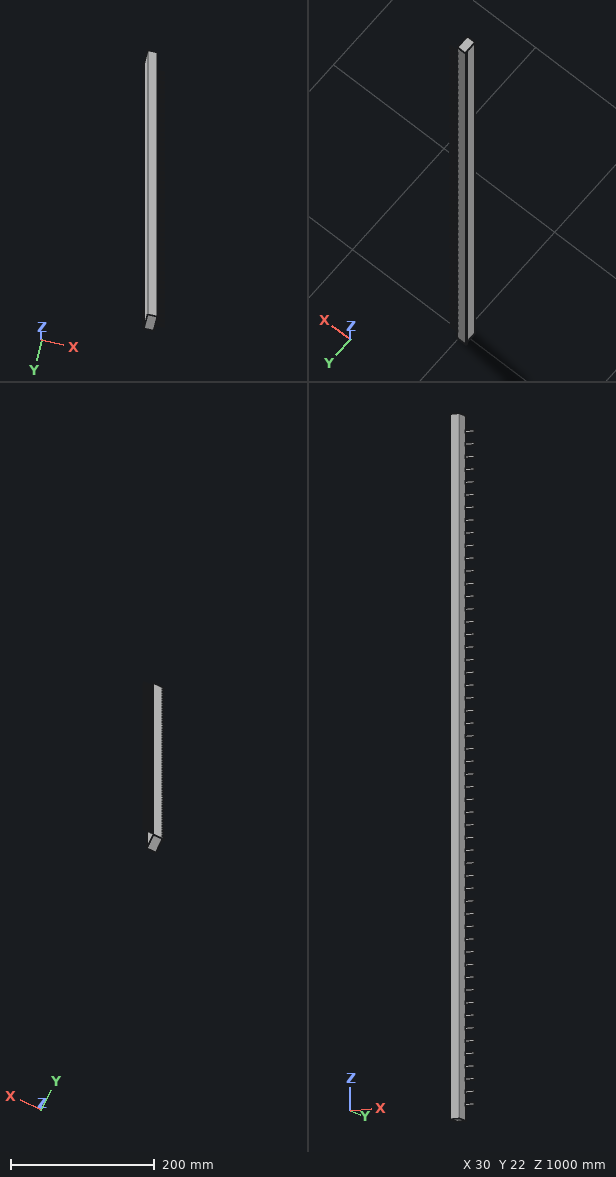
import cadquery as cq

LENGTH = 1000.0
OVERALL_WIDTH = 30.0
DEPTH = 22.0

RAIL_WIDTH = 16.0
FRONT_CORNER_RADIUS = 0.8

LIP_REACH = 1.6
LIP_THICKNESS = 2.0
LIP_UNDERCUT = 0.8
LIP_TIP_RADIUS = 1.0

TOOTH_COUNT = 54
TOOTH_PITCH = 18.0
TOOTH_HEIGHT = 4.0
TOOTH_THICKNESS = 2.0
TOOTH_INSET = 1.0
TOOTH_REACH = OVERALL_WIDTH - RAIL_WIDTH


def round_upright_edge(body, x, y, radius):
    """Round the full-length edge that passes through (x, y)."""
    edge = cq.selectors.NearestToPointSelector((x, y, LENGTH / 2))
    return body.edges(edge).fillet(radius)


def make_rail():
    """Constant-section rail whose lip is thickest at its tip, with rounded front and lip corners."""
    lip_tip_y = DEPTH - LIP_THICKNESS
    section = [
        (LIP_REACH, 0),
        (RAIL_WIDTH, 0),
        (RAIL_WIDTH, DEPTH),
        (0, DEPTH),
        (0, lip_tip_y),
        (LIP_REACH, lip_tip_y + LIP_UNDERCUT),
    ]
    rail = cq.Workplane("XY").polyline(section).close().extrude(LENGTH)
    for corner_x in (LIP_REACH, RAIL_WIDTH):
        rail = round_upright_edge(rail, corner_x, 0, FRONT_CORNER_RADIUS)
    return round_upright_edge(rail, 0, DEPTH, LIP_TIP_RADIUS)


def make_teeth():
    """Evenly spaced teeth, centred along the rail and set slightly forward of its +Y face."""
    row_length = (TOOTH_COUNT - 1) * TOOTH_PITCH
    first_centre = (LENGTH - row_length) / 2
    tooth_front_y = DEPTH - TOOTH_INSET - TOOTH_THICKNESS
    tooth_positions = [
        (RAIL_WIDTH, tooth_front_y, first_centre + i * TOOTH_PITCH)
        for i in range(TOOTH_COUNT)
    ]
    tooth = cq.Workplane("XY").box(
        TOOTH_REACH, TOOTH_THICKNESS, TOOTH_HEIGHT, centered=(False, False, True)
    )
    return cq.Workplane("XY").pushPoints(tooth_positions).eachpoint(tooth.val())


result = make_rail().union(make_teeth())